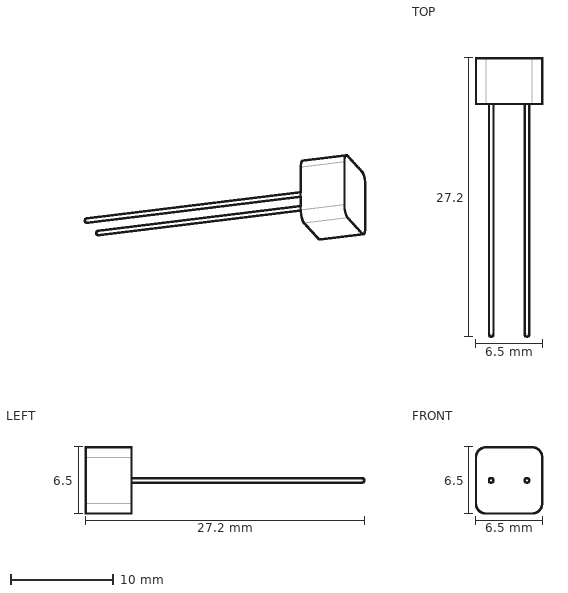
import cadquery as cq

body_size = 6.5
body_depth = 4.5
corner_radius = 1.0

total_length = 27.25
lead_diameter = 0.46
lead_spacing = 3.5
dome_height = 0.25

lead_radius = lead_diameter / 2
lead_length = total_length - body_depth
straight_length = lead_length - dome_height

dome_radius = (lead_radius**2 + dome_height**2) / (2 * dome_height)
dome_center_y = dome_radius - lead_length


def make_body():
    """Block from Y = 0 to Y = body_depth with its four long edges rounded."""
    block = cq.Workplane("XY").box(body_size, body_depth, body_size, centered=(True, False, True))
    return block.edges("|Y").fillet(corner_radius)


def make_lead(x):
    """Wire along -Y at the given X, revolved from a half profile that ends in the dome's arc."""
    half_profile = (
        cq.Workplane("XY", origin=(x, 0, 0))
        .lineTo(lead_radius, 0)
        .lineTo(lead_radius, -straight_length)
        .threePointArc((dome_radius, dome_center_y), (0, -lead_length))
        .close()
    )
    return half_profile.revolve(360, (0, 0, 0), (0, 1, 0))


result = make_body()
for lead_x in (-lead_spacing / 2, lead_spacing / 2):
    result = result.union(make_lead(lead_x))